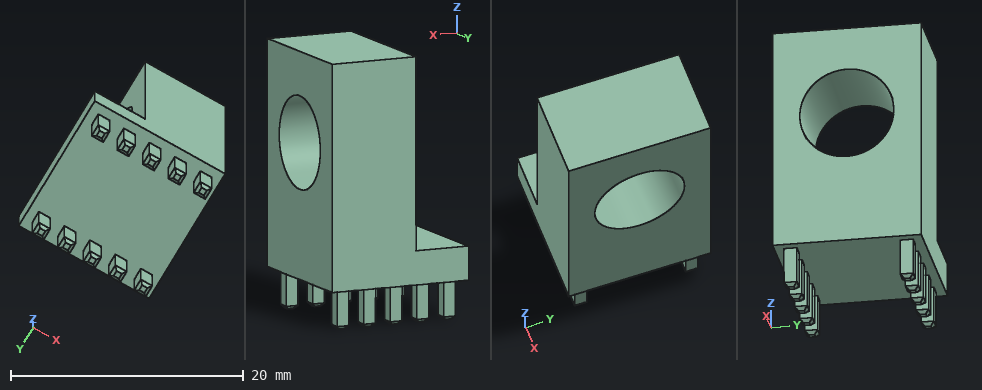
import cadquery as cq

total_height = 23.5
side = 13.0
pin_length = 3.5
foot_height = 3.0
foot_length = 5.0
housing_height = total_height - pin_length
tower_front = foot_length - side / 2

hole_diameter = 8.2
hole_chamfer = 0.2
hole_below_top = 8.0
hole_height = housing_height - hole_below_top

pins_per_row = 5
pin_pitch = 2.54
row_spacing = (pins_per_row - 1) * pin_pitch
pin_width = 1.13
tip_chamfer = 0.3


def make_housing():
    """L profile in the XZ plane, with its underside at Z = 0."""
    profile = (
        cq.Workplane("XZ")
        .moveTo(-side / 2, 0)
        .lineTo(side / 2, 0)
        .lineTo(side / 2, housing_height)
        .lineTo(tower_front, housing_height)
        .lineTo(tower_front, foot_height)
        .lineTo(-side / 2, foot_height)
        .close()
    )
    return profile.extrude(side / 2, both=True)


def make_opening():
    """Cutter for the through hole and the chamfer at its -X mouth."""
    front_face = cq.Workplane("YZ", origin=(tower_front, 0, hole_height))
    bore = front_face.circle(hole_diameter / 2).extrude(side - foot_length)
    mouth = (
        front_face
        .circle(hole_diameter / 2 + hole_chamfer)
        .workplane(offset=hole_chamfer)
        .circle(hole_diameter / 2)
        .loft()
    )
    return bore.union(mouth)


def make_pins():
    """Both rows of pins, hanging down from Z = 0."""
    pin = (
        cq.Workplane("XY")
        .rect(pin_width, pin_width)
        .extrude(-pin_length)
        .faces("<Z")
        .chamfer(tip_chamfer)
    )
    places = cq.Workplane("XY").rarray(pin_pitch, row_spacing, pins_per_row, 2)
    return places.eachpoint(lambda place: pin.val().moved(place))


result = make_housing().cut(make_opening()).union(make_pins())